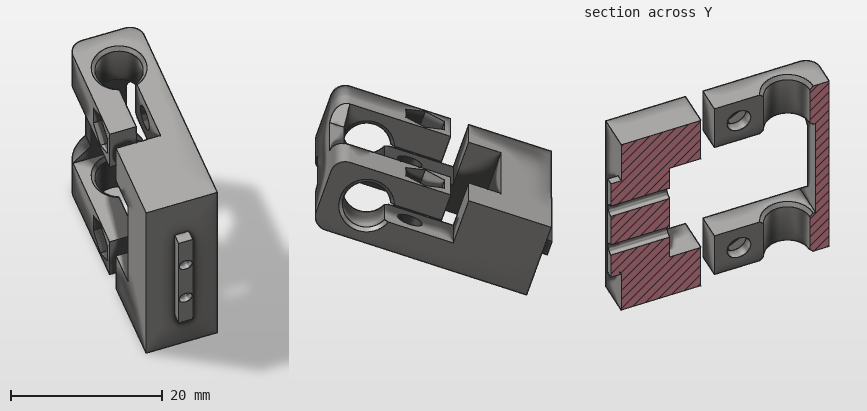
import cadquery as cq
import math

BODY_LENGTH = 30.0
BODY_DEPTH = 10.0
BODY_HEIGHT = 30.0
CORNER_RADIUS = 2.0

ARM_HEIGHT = 7.0
BAR_THICKNESS = 2.0
WINDOW_END_X = 23.0
WINDOW_HEIGHT = BODY_HEIGHT - 2 * ARM_HEIGHT
WINDOW_LENGTH = WINDOW_END_X - BAR_THICKNESS

RECESS_DEPTH = 2.5

ROD_X = 6.0
ROD_DIAMETER = 6.35
ROD_CHAMFER = 0.5
SLIT_WIDTH = 2.5
JAW_END_X = 16.0
SLIT_END_X = 18.5

SCREW_X = 12.45
SCREW_DIAMETER = 3.4
SCREW_Z = (BODY_HEIGHT - ARM_HEIGHT) / 2
NUT_ACROSS_FLATS = 5.4
NUT_DEPTH = 2.25

RIB_PROJECTION = 1.5
RIB_WIDTH = 2.0
RIB_HEIGHT = 17.0

PIN_DIAMETER = 1.8
PIN_SPACING = 7.0

FRONT_Y = -BODY_DEPTH / 2
ARM_SIDES = (1, -1)


def box_between(start, end):
    """Box from one corner point to the opposite one."""
    size = [high - low for low, high in zip(start, end)]
    return cq.Workplane("XY").box(*size, centered=False).translate(start)


def make_body():
    block = cq.Workplane("XY").box(BODY_LENGTH, BODY_DEPTH, BODY_HEIGHT, centered=(False, True, True))
    block = block.edges("|Z and <X").fillet(CORNER_RADIUS)
    rib = (
        cq.Workplane("XY")
        .box(RIB_PROJECTION, RIB_WIDTH, RIB_HEIGHT, centered=(False, True, True))
        .translate((BODY_LENGTH, 0, 0))
    )
    return block.union(rib)


def make_window():
    return (
        cq.Workplane("XY")
        .box(WINDOW_LENGTH, BODY_DEPTH, WINDOW_HEIGHT, centered=(False, True, True))
        .translate((BAR_THICKNESS, 0, 0))
    )


def make_bar_recess(side):
    """Trapezoidal recess in the end bar on the Y face given by side."""
    outer_y = side * BODY_DEPTH / 2
    inner_y = outer_y - side * RECESS_DEPTH
    outer_z = WINDOW_HEIGHT / 2
    inner_z = outer_z - RECESS_DEPTH
    outline = [(outer_y, -outer_z), (outer_y, outer_z), (inner_y, inner_z), (inner_y, -inner_z)]
    return cq.Workplane("YZ").polyline(outline).close().extrude(BAR_THICKNESS)


def make_slit():
    half_width = SLIT_WIDTH / 2
    half_height = BODY_HEIGHT / 2
    behind_jaw = box_between((ROD_X, -half_width, -half_height), (SLIT_END_X, half_width, half_height))
    jaw_gap = box_between((JAW_END_X, FRONT_Y, -half_height), (SLIT_END_X, half_width, half_height))
    return behind_jaw.union(jaw_gap)


def make_rod_bore():
    """Bore through both arms, chamfered where it enters and leaves each arm."""
    radius = ROD_DIAMETER / 2
    bore = cq.Workplane("XY").circle(radius).extrude(BODY_HEIGHT / 2, both=True)
    for side in ARM_SIDES:
        for face_z, inward in ((BODY_HEIGHT / 2, -1), (WINDOW_HEIGHT / 2, 1)):
            chamfer = cq.Solid.makeCone(
                radius + ROD_CHAMFER,
                radius,
                ROD_CHAMFER,
                cq.Vector(0, 0, side * face_z),
                cq.Vector(0, 0, side * inward),
            )
            bore = bore.union(cq.Workplane(chamfer))
    return bore.translate((ROD_X, 0, 0))


def make_clamp_screw(side):
    """Screw hole through an arm, with a nut pocket whose corners point up and down."""
    nut_across_corners = NUT_ACROSS_FLATS / math.cos(math.pi / 6)
    front = cq.Workplane("XZ", origin=(SCREW_X, FRONT_Y, side * SCREW_Z))
    hole = front.circle(SCREW_DIAMETER / 2).extrude(-BODY_DEPTH)
    nut = front.transformed(rotate=(0, 0, 90)).polygon(6, nut_across_corners).extrude(-NUT_DEPTH)
    return hole.union(nut)


def make_pin_holes():
    return (
        cq.Workplane("YZ", origin=(WINDOW_END_X, 0, 0))
        .rarray(1, PIN_SPACING, 1, 2)
        .circle(PIN_DIAMETER / 2)
        .extrude(BODY_LENGTH + RIB_PROJECTION - WINDOW_END_X)
    )


result = make_body().cut(make_window()).cut(make_slit()).cut(make_rod_bore()).cut(make_pin_holes())
for arm_side in ARM_SIDES:
    result = result.cut(make_bar_recess(arm_side)).cut(make_clamp_screw(arm_side))